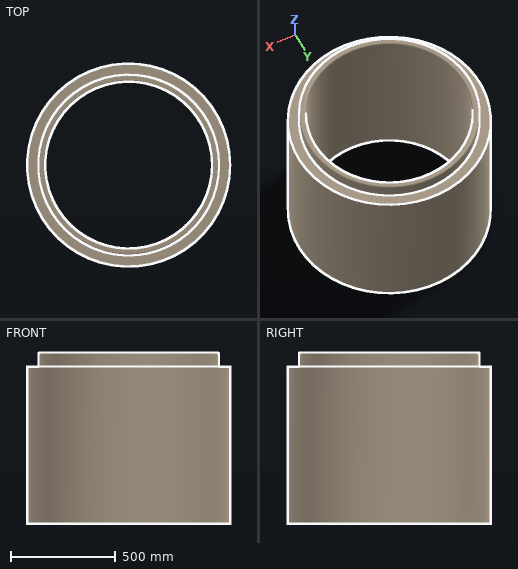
import cadquery as cq

outer_diameter = 976.0
total_height = 824.0
bore_diameter = 800.0

spigot_diameter = 869.0
spigot_height = 68.0
rim_fillet_radius = 10.0

shoulder_height = total_height - spigot_height


def make_stepped_cylinder():
    """Solid body with the narrower spigot standing on its shoulder."""
    body = cq.Workplane("XY").circle(outer_diameter / 2).extrude(shoulder_height)
    return body.faces(">Z").workplane().circle(spigot_diameter / 2).extrude(spigot_height)


def cut_bore(part):
    """Straight bore through the full height."""
    bore = cq.Workplane("XY").circle(bore_diameter / 2).extrude(total_height)
    return part.cut(bore)


def round_rim(part):
    """Round the outer and inner edges of the spigot rim."""
    return part.faces(">Z").edges().fillet(rim_fillet_radius)


result = round_rim(cut_bore(make_stepped_cylinder()))